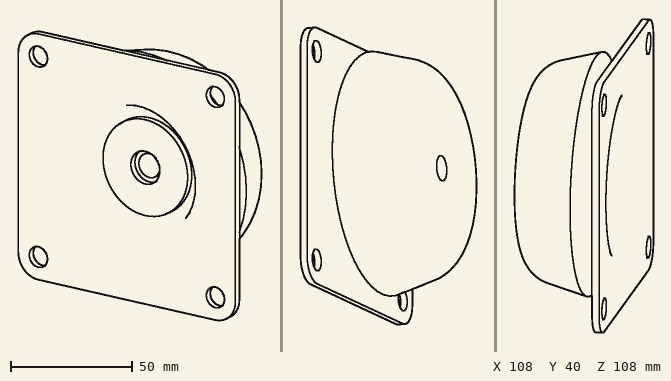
import cadquery as cq
import math


flange_side = 108.0
flange_thickness = 3.0
flange_corner_radius = 10.0
bolt_spacing = 88.0
bolt_hole_diameter = 9.0

dish_mouth_radius = 42.1
dish_bend_radius = 15.0
shell_outer_bend_radius = dish_bend_radius - flange_thickness
taper_angle = math.radians(15)

dish_depth = 16.7
dish_floor_fillet = 3.7
disc_radius = 21.1
disc_thickness = flange_thickness
disc_face_y = dish_depth - disc_thickness

neck_fillet = 3.0
underside_y = 11.5

cap_top_y = 40.0
rim_y = 13.0
rim_radius = 50.8
cap_shell_thickness = flange_thickness
cap_edge_radius = 13.7

bore_diameter = 10.5
disc_bore_diameter = 14.4


def point_on_circle(center, radius, angle):
    """Point of a circle, with the angle in radians from the +X direction."""
    return (center[0] + radius * math.cos(angle), center[1] + radius * math.sin(angle))


def make_flange():
    flange = (
        cq.Workplane("XZ")
        .rect(flange_side, flange_side)
        .extrude(-flange_thickness)
        .edges("|Y")
        .fillet(flange_corner_radius)
    )
    bolt_holes = (
        cq.Workplane("XZ")
        .rect(bolt_spacing, bolt_spacing, forConstruction=True)
        .vertices()
        .circle(bolt_hole_diameter / 2)
        .extrude(-flange_thickness)
    )
    return flange.cut(bolt_holes)


def make_bell():
    """Solid bell: shell bend, neck groove, cap underside and tapered, rounded cap."""
    bend_center = (dish_mouth_radius, dish_bend_radius)
    neck_center_y = underside_y - neck_fillet
    center_distance = shell_outer_bend_radius - neck_fillet
    tangent_angle = math.pi + math.asin((dish_bend_radius - neck_center_y) / center_distance)
    neck_center = point_on_circle(bend_center, center_distance, tangent_angle)
    bend_start_angle = 1.5 * math.pi
    bend_middle = point_on_circle(
        bend_center, shell_outer_bend_radius, (bend_start_angle + tangent_angle) / 2
    )
    bend_end = point_on_circle(bend_center, shell_outer_bend_radius, tangent_angle)
    neck_bottom = point_on_circle(neck_center, neck_fillet, math.pi)
    neck_end = (neck_center[0], underside_y)

    rim_inner = (
        rim_radius - cap_shell_thickness * math.cos(taper_angle),
        rim_y - cap_shell_thickness * math.sin(taper_angle),
    )

    edge_center_y = cap_top_y - cap_edge_radius
    side_end_y = edge_center_y + cap_edge_radius * math.sin(taper_angle)
    side_end_radius = rim_radius - (side_end_y - rim_y) * math.tan(taper_angle)
    edge_center = (side_end_radius - cap_edge_radius * math.cos(taper_angle), edge_center_y)
    edge_middle = point_on_circle(edge_center, cap_edge_radius, (taper_angle + math.pi / 2) / 2)

    return (
        cq.Workplane("XY")
        .lineTo(dish_mouth_radius, 0)
        .lineTo(dish_mouth_radius, flange_thickness)
        .threePointArc(bend_middle, bend_end)
        .threePointArc(neck_bottom, neck_end)
        .tangentArcPoint(rim_inner, relative=False)
        .lineTo(rim_radius, rim_y)
        .lineTo(side_end_radius, side_end_y)
        .threePointArc(edge_middle, (edge_center[0], cap_top_y))
        .lineTo(0, cap_top_y)
        .close()
        .revolve(360, (0, 0), (0, 1))
    )


def make_dish_cavity():
    """Space inside the dish, leaving the raised disc standing on its floor."""
    bend_center = (dish_mouth_radius, dish_bend_radius)
    bend_end_angle = math.pi + taper_angle
    bend_middle = point_on_circle(
        bend_center, dish_bend_radius, (1.5 * math.pi + bend_end_angle) / 2
    )
    bend_end = point_on_circle(bend_center, dish_bend_radius, bend_end_angle)

    fillet_center_y = dish_depth - dish_floor_fillet
    wall_end_y = fillet_center_y + dish_floor_fillet * math.sin(taper_angle)
    wall_end_radius = bend_end[0] - (wall_end_y - bend_end[1]) * math.tan(taper_angle)
    fillet_center = (wall_end_radius - dish_floor_fillet * math.cos(taper_angle), fillet_center_y)
    fillet_middle = point_on_circle(
        fillet_center, dish_floor_fillet, (taper_angle + math.pi / 2) / 2
    )

    return (
        cq.Workplane("XY")
        .lineTo(dish_mouth_radius, 0)
        .threePointArc(bend_middle, bend_end)
        .lineTo(wall_end_radius, wall_end_y)
        .threePointArc(fillet_middle, (fillet_center[0], dish_depth))
        .lineTo(disc_radius, dish_depth)
        .lineTo(disc_radius, disc_face_y)
        .lineTo(0, disc_face_y)
        .close()
        .revolve(360, (0, 0), (0, 1))
    )


def make_center_bore():
    bore = cq.Workplane("XZ").circle(bore_diameter / 2).extrude(-cap_top_y)
    disc_bore = cq.Workplane("XZ").circle(disc_bore_diameter / 2).extrude(-dish_depth)
    return bore.union(disc_bore)


result = make_flange().union(make_bell()).cut(make_dish_cavity()).cut(make_center_bore())